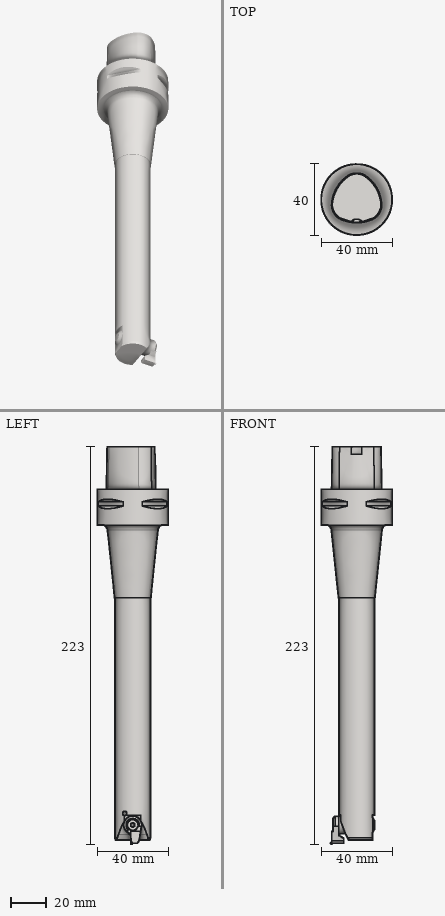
import cadquery as cq
import math


total_height = 223.0
flange_top = 199.1
flange_bottom = 179.0
neck_top = 176.5
neck_bottom = 138.3
bar_bottom = 2.5

flange_radius = 40.0 / 2
bar_radius = 20.0 / 2
neck_fillet_radius = 16.3
neck_top_radius = 14.3
neck_bottom_radius = 10.3
end_chamfer_height = 1.3
end_chamfer_width = 0.5

shank_mean_radius = 27.9 / 2
shank_lobe = 1.0
shank_taper = 0.5
shank_corner_half_angle = 17
shank_corner_angles = (90, 210, 330)
shank_corner_pitch = 360 / len(shank_corner_angles)

notch_radius = 3.5
notch_depth = 4.2
notch_offset = 14.5

slot_angles = (45, 135, 225, 315)
slot_floor_distance = 17.5
slot_floor_height = 2.2
slot_mouth_height = 5.4
slot_level = flange_top - 8.3

flat_distance = 9.0
flat_top = 16.5
slope_top = 13.0
slope_break = (-6.2, 5.8)
slope_end_x = -4.5
seat_x = -bar_radius
back_boss_base_diameter = 8.7
back_boss_tip_diameter = 4.7

coolant_diameter = 2.5
coolant_y = 4.5
coolant_level = 17.5
coolant_depth = 4.5

head_diameter = 10.0
head_face_x = -13.4
head_chamfer = 1.3
blade_face_x = -14.0
blade_foot_x = -7.1
blade_top = 7.4
rake_y = 1.0
relief_y = -3.5
relief_top = 10.3
relief_bottom = 2.0
blade_bottom_y = -2.7
gusset_bottom = 5.0
gusset_top = 7.4
gusset_y = 3.3
foot_top = 3.3
foot_slope_top = 5.4
blade_bottom = 0.7
tip_x = -14.7
tip_thickness = 0.7

screw_level = 11.0
screw_head_diameter = 6.0
screw_shank_diameter = 4.0
screw_head_height = 1.3
screw_cone_height = 1.1
screw_end_x = -2.2
socket_diameter = 2.0
socket_lobe_diameter = 0.7
socket_lobes = 6
socket_depth = 1.5


def x_cylinder(diameter, x_start, x_end, y=0.0, z=screw_level):
    """A cylinder along X between two X positions."""
    start = cq.Vector(x_start, y, z)
    return cq.Workplane(obj=cq.Solid.makeCylinder(diameter / 2, x_end - x_start, start, cq.Vector(1, 0, 0)))


def x_cone(diameter_start, diameter_end, x_start, x_end):
    """A cone on the screw axis between two X positions."""
    start = cq.Vector(x_start, 0, screw_level)
    cone = cq.Solid.makeCone(
        diameter_start / 2, diameter_end / 2, x_end - x_start, start, cq.Vector(1, 0, 0)
    )
    return cq.Workplane(obj=cone)


def shank_point(mean_radius, angle):
    """A point of the shank outline, whose radius swells at the three corners."""
    lobe_phase = len(shank_corner_angles) * (angle - shank_corner_angles[0])
    radius = mean_radius + shank_lobe * math.cos(math.radians(lobe_phase))
    return radius * math.cos(math.radians(angle)), radius * math.sin(math.radians(angle))


def shank_outline(work, mean_radius):
    """Six arcs: one around each corner and one along each side."""
    work = work.moveTo(*shank_point(mean_radius, shank_corner_angles[0] - shank_corner_half_angle))
    for corner in shank_corner_angles:
        corner_end = corner + shank_corner_half_angle
        work = work.threePointArc(shank_point(mean_radius, corner), shank_point(mean_radius, corner_end))
        side_middle = corner + shank_corner_pitch / 2
        side_end = corner + shank_corner_pitch - shank_corner_half_angle
        work = work.threePointArc(shank_point(mean_radius, side_middle), shank_point(mean_radius, side_end))
    return work.close()


def make_shank():
    height = total_height - flange_top
    base = shank_outline(cq.Workplane("XY").workplane(offset=flange_top), shank_mean_radius)
    shank = shank_outline(base.workplane(offset=height), shank_mean_radius - shank_taper).loft(ruled=True)
    notch = (
        cq.Workplane("XY")
        .workplane(offset=total_height - notch_depth)
        .center(0, -notch_offset)
        .circle(notch_radius)
        .extrude(notch_depth)
    )
    return shank.cut(notch)


def make_turned_body():
    return (
        cq.Workplane("XZ")
        .moveTo(0, bar_bottom)
        .lineTo(bar_radius - end_chamfer_width, bar_bottom)
        .lineTo(bar_radius, bar_bottom + end_chamfer_height)
        .lineTo(bar_radius, neck_bottom)
        .lineTo(neck_bottom_radius, neck_bottom)
        .lineTo(neck_top_radius, neck_top)
        .tangentArcPoint((neck_fillet_radius, flange_bottom), relative=False)
        .lineTo(flange_radius, flange_bottom)
        .lineTo(flange_radius, flange_top)
        .lineTo(0, flange_top)
        .close()
        .revolve(360, (0, 0, 0), (0, 1, 0))
    )


def make_gripper_slot(angle):
    """A straight slot with a flat floor and flared sides, cut across the rim of the flange."""
    half_floor = slot_floor_height / 2
    half_mouth = slot_mouth_height / 2
    return (
        cq.Workplane("XZ")
        .moveTo(slot_floor_distance, slot_level - half_floor)
        .lineTo(flange_radius, slot_level - half_mouth)
        .lineTo(flange_radius, slot_level + half_mouth)
        .lineTo(slot_floor_distance, slot_level + half_floor)
        .close()
        .extrude(flange_radius, both=True)
        .rotate((0, 0, 0), (0, 0, 1), angle)
    )


def make_seat_cut():
    """Flats on both sides of the bar end, the -X one running into two slopes."""
    front = (
        cq.Workplane("XZ")
        .moveTo(-bar_radius, flat_top)
        .lineTo(-flat_distance, flat_top)
        .lineTo(-flat_distance, slope_top)
        .lineTo(*slope_break)
        .lineTo(slope_end_x, bar_bottom)
        .lineTo(-bar_radius, bar_bottom)
        .close()
        .extrude(bar_radius, both=True)
    )
    back = (
        cq.Workplane("XZ")
        .moveTo(flat_distance, bar_bottom)
        .lineTo(bar_radius, bar_bottom)
        .lineTo(bar_radius, flat_top)
        .lineTo(flat_distance, flat_top)
        .close()
        .extrude(bar_radius, both=True)
    )
    return front.union(back)


def make_bar():
    bar = make_turned_body().union(make_shank())
    for angle in slot_angles:
        bar = bar.cut(make_gripper_slot(angle))
    bar = bar.cut(make_seat_cut())
    seat_boss = x_cylinder(head_diameter, seat_x, slope_end_x)
    back_boss = x_cone(back_boss_base_diameter, back_boss_tip_diameter, flat_distance, bar_radius)
    coolant_hole = x_cylinder(
        coolant_diameter, -bar_radius, -bar_radius + coolant_depth, coolant_y, coolant_level
    )
    return bar.union(seat_boss).union(back_boss).cut(coolant_hole).cut(make_screw_blank())


def make_head_disc():
    disc = x_cylinder(head_diameter, head_face_x, seat_x)
    return disc.faces("<X").chamfer(head_chamfer)


def make_blade():
    """The leg below the disc: its outline across Y, trimmed to its outline along X.

    Only the part on the relief side of the rake face stands out beyond the head face.
    """
    across = (
        cq.Workplane("YZ")
        .workplane(offset=tip_x)
        .polyline(
            [
                (-head_diameter / 2, relief_top),
                (relief_y, relief_bottom),
                (blade_bottom_y, blade_bottom),
                (rake_y, blade_bottom),
                (rake_y, gusset_bottom),
                (gusset_y, gusset_top),
                (0, relief_top),
            ]
        )
        .close()
        .extrude(blade_foot_x - tip_x)
    )
    along = (
        cq.Workplane("XZ")
        .polyline(
            [
                (seat_x, screw_level),
                (head_face_x, screw_level),
                (head_face_x, blade_top),
                (blade_face_x, blade_top),
                (blade_face_x, blade_bottom),
                (blade_foot_x, blade_bottom),
                (blade_foot_x, foot_top),
                (seat_x, foot_slope_top),
            ]
        )
        .close()
        .extrude(head_diameter, both=True)
    )
    land_relief = (
        cq.Workplane("XY")
        .box(head_face_x - tip_x, head_diameter, head_diameter, centered=False)
        .translate((tip_x, rake_y, 0))
    )
    return across.intersect(along).cut(land_relief)


def make_cutting_tip():
    """The pointed corner on the rake face that reaches beyond the blade."""
    return (
        cq.Workplane("XZ", origin=(0, rake_y, 0))
        .moveTo(tip_x, blade_bottom)
        .lineTo(blade_face_x, 0)
        .lineTo(head_face_x, blade_bottom)
        .lineTo(blade_face_x, 2 * blade_bottom)
        .close()
        .extrude(tip_thickness)
    )


def make_head():
    head = make_head_disc().union(make_blade()).union(make_cutting_tip())
    return head.cut(make_screw_blank())


def make_screw_blank():
    """The screw without its socket, which is also the shape of the hole it fills."""
    cone_start = head_face_x + screw_head_height
    cone_end = cone_start + screw_cone_height
    screw = x_cylinder(screw_head_diameter, head_face_x, cone_start)
    cone = x_cone(screw_head_diameter, screw_shank_diameter, cone_start, cone_end)
    return screw.union(cone).union(x_cylinder(screw_shank_diameter, cone_end, screw_end_x))


def make_screw():
    """The screw with a six-lobed socket."""
    socket_end = head_face_x + socket_depth
    screw = make_screw_blank().cut(x_cylinder(socket_diameter, head_face_x, socket_end))
    for index in range(socket_lobes):
        angle = 2 * math.pi * index / socket_lobes
        lobe_y = socket_diameter / 2 * math.sin(angle)
        lobe_z = screw_level + socket_diameter / 2 * math.cos(angle)
        screw = screw.cut(x_cylinder(socket_lobe_diameter, head_face_x, socket_end, lobe_y, lobe_z))
    return screw


bar = make_bar()
head = make_head()
screw = make_screw()

result = cq.Compound.makeCompound([bar.solids().val(), head.solids().val(), screw.solids().val()])